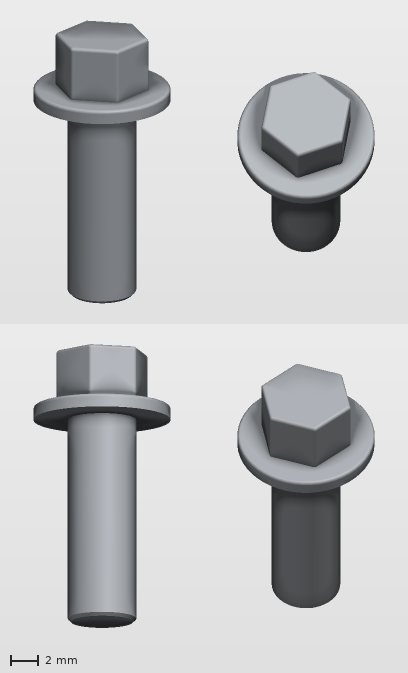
import cadquery as cq
import math

total_length = 20.0
shank_diameter = 5.0
flange_diameter = 10.0
flange_thickness = 1.0
head_height = 4.0
across_flats = 6.0
edge_radius = 0.25
tip_chamfer = 0.25

shank_length = total_length - flange_thickness - head_height
across_corners = across_flats / math.cos(math.radians(30))


def make_shank():
    """Plain shank hanging below the flange, with a chamfered tip."""
    shank = cq.Workplane("XY").circle(shank_diameter / 2).extrude(-shank_length)
    return shank.faces("<Z").chamfer(tip_chamfer)


def make_flange():
    """Round flange resting on Z = 0, with a rounded upper rim."""
    flange = cq.Workplane("XY").circle(flange_diameter / 2).extrude(flange_thickness)
    return flange.faces(">Z").edges().fillet(edge_radius)


def make_head():
    """Hexagonal head with two corners on the X axis, rounded at its corners and top."""
    head = (
        cq.Workplane("XY", origin=(0, 0, flange_thickness))
        .polygon(6, across_corners)
        .extrude(head_height)
    )
    return head.edges("|Z or >Z").fillet(edge_radius)


result = make_shank().union(make_flange()).union(make_head())